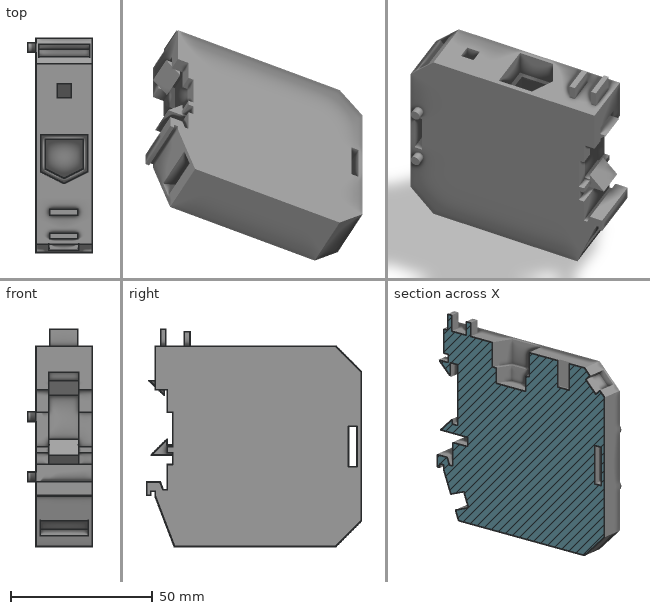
import cadquery as cq
import math


BODY_WIDTH = 20.0
BODY_HEIGHT = 71.0
BACK_CHAMFER = 9.1
FRONT_DEPTH = 73.0
RAIL_FACE_DEPTH = 68.8
NOTCH_DEPTH = 66.8
HEAD_BOTTOM = 55.5
NOTCH_TOP = 47.5
NOTCH_BOTTOM = 29.1
RIB_BOTTOM = 33.2
RIB_TOP = 35.3

FOOT_DEPTH = 76.0
FOOT_TOP = 22.9
FOOT_BOTTOM = 18.1
GROOVE_BOTTOM = 20.2
GROOVE_MOUTH_DEPTH = 71.2
GROOVE_FLOOR_DEPTH = 70.2
RELIEF_TOP = 19.5
RELIEF_DEPTH = 74.5
SLOPE_TOP = 17.8
SLOPE_BOTTOM_DEPTH = 66.2

CHANNEL_WIDTH = 10.5
CHANNEL_OFFSET = -0.13
CHANNEL_FLOOR_DEPTH = 66.6
UNDERCUT_DEPTH = 62.0
CHANNEL_TOP = 61.7
UPPER_RECESS_DEPTH = 71.0
UPPER_CATCH_TOP = 58.8
UPPER_CATCH_BOTTOM = 53.5
UPPER_CATCH_BACK = 69.7
UPPER_CATCH_TIP = 75.2
LOWER_CATCH_BOTTOM = 32.4
LOWER_CATCH_SHOULDER = 36.0
LOWER_CATCH_PEAK = 38.0
LOWER_CATCH_TIP = 74.4

PIN_DIAMETER = 3.5
PIN_LENGTH = 2.9
PIN_DEPTH = 3.35
PIN_HEIGHTS = (24.7, 46.0)
SLOT_NEAR = 1.6
SLOT_FAR = 4.5
SLOT_BOTTOM = 28.3
SLOT_TOP = 42.6

SQUARE_HOLE_SIZE = 5.0
SQUARE_HOLE_DEPTH = 18.7
SQUARE_HOLE_SINK = 10.0
SOCKET_WIDTH = 16.7
SOCKET_BACK = 34.2
SOCKET_SHOULDER = 47.3
SOCKET_TIP = 51.5
SOCKET_STEP = 1.6
SOCKET_LEDGE_SINK = 9.2
SOCKET_TOTAL_SINK = 15.0
BLADE_WIDTH = 10.0
BLADE_OFFSET = -0.13
BLADES = ((60.6, 62.7, 5.1), (69.2, 71.1, 6.0))

MARKER_WIDTH = 18.1
MARKER_LENGTH = 6.3
MARKER_SINK = 2.6
MARKER_CENTRE_DEPTH = 4.4

SLOPE_POCKET_WIDTH = 17.0
SLOPE_POCKET_BOTTOM = 3.8
SLOPE_POCKET_TOP = 9.2
SLOPE_POCKET_SINK = 6.3


def prism(points, width, x_centre=0.0):
    """Extrude a (depth, height) outline along X, centred on x_centre."""
    outline = [(-depth, height) for depth, height in points]
    solid = cq.Workplane("YZ").polyline(outline).close().extrude(width / 2, both=True)
    return solid.translate((x_centre, 0, 0))


def block(near, far, bottom, top, width, x_centre=0.0):
    """Box between two depths and two heights."""
    corners = [(near, bottom), (far, bottom), (far, top), (near, top)]
    return prism(corners, width, x_centre)


def housing():
    outline = [
        (0, BACK_CHAMFER),
        (0, BODY_HEIGHT - BACK_CHAMFER),
        (BACK_CHAMFER, BODY_HEIGHT),
        (FRONT_DEPTH, BODY_HEIGHT),
        (FRONT_DEPTH, HEAD_BOTTOM),
        (RAIL_FACE_DEPTH, HEAD_BOTTOM),
        (RAIL_FACE_DEPTH, NOTCH_TOP),
        (NOTCH_DEPTH, NOTCH_TOP),
        (NOTCH_DEPTH, RIB_TOP),
        (RAIL_FACE_DEPTH, RIB_TOP),
        (RAIL_FACE_DEPTH, RIB_BOTTOM),
        (NOTCH_DEPTH, RIB_BOTTOM),
        (NOTCH_DEPTH, NOTCH_BOTTOM),
        (RAIL_FACE_DEPTH, NOTCH_BOTTOM),
        (RAIL_FACE_DEPTH, GROOVE_BOTTOM),
        (GROOVE_FLOOR_DEPTH, GROOVE_BOTTOM),
        (GROOVE_MOUTH_DEPTH, FOOT_TOP),
        (FOOT_DEPTH, FOOT_TOP),
        (FOOT_DEPTH, FOOT_BOTTOM),
        (RELIEF_DEPTH, FOOT_BOTTOM),
        (RELIEF_DEPTH, RELIEF_TOP),
        (FRONT_DEPTH, RELIEF_TOP),
        (FRONT_DEPTH, SLOPE_TOP),
        (SLOPE_BOTTOM_DEPTH, 0),
        (BACK_CHAMFER, 0),
    ]
    return prism(outline, BODY_WIDTH)


def cut_channel(body):
    main = block(CHANNEL_FLOOR_DEPTH, FRONT_DEPTH, NOTCH_BOTTOM, UPPER_CATCH_TOP,
                 CHANNEL_WIDTH, CHANNEL_OFFSET)
    recess = block(UPPER_RECESS_DEPTH, FRONT_DEPTH, UPPER_CATCH_TOP, CHANNEL_TOP,
                   CHANNEL_WIDTH, CHANNEL_OFFSET)
    undercut = block(UNDERCUT_DEPTH, RAIL_FACE_DEPTH, NOTCH_BOTTOM, LOWER_CATCH_BOTTOM,
                     CHANNEL_WIDTH, CHANNEL_OFFSET)
    return body.cut(main).cut(recess).cut(undercut)


def add_catches(body):
    upper = [
        (UPPER_CATCH_BACK, UPPER_CATCH_TOP),
        (UPPER_CATCH_TIP, UPPER_CATCH_TOP),
        (UPPER_CATCH_BACK, UPPER_CATCH_BOTTOM),
    ]
    lower = [
        (CHANNEL_FLOOR_DEPTH, LOWER_CATCH_BOTTOM),
        (LOWER_CATCH_TIP, LOWER_CATCH_BOTTOM),
        (RAIL_FACE_DEPTH, LOWER_CATCH_PEAK),
        (RAIL_FACE_DEPTH, LOWER_CATCH_SHOULDER),
        (CHANNEL_FLOOR_DEPTH, LOWER_CATCH_SHOULDER),
    ]
    for outline in (upper, lower):
        body = body.union(prism(outline, CHANNEL_WIDTH, CHANNEL_OFFSET))
    return body


def add_side_pins(body):
    centres = [(-PIN_DEPTH, height) for height in PIN_HEIGHTS]
    pins = (
        cq.Workplane("YZ", origin=(-BODY_WIDTH / 2, 0, 0))
        .pushPoints(centres)
        .circle(PIN_DIAMETER / 2)
        .extrude(-PIN_LENGTH)
    )
    return body.union(pins)


def cut_side_slot(body):
    return body.cut(block(SLOT_NEAR, SLOT_FAR, SLOT_BOTTOM, SLOT_TOP, BODY_WIDTH))


def cut_square_hole(body):
    half = SQUARE_HOLE_SIZE / 2
    hole = block(SQUARE_HOLE_DEPTH - half, SQUARE_HOLE_DEPTH + half,
                 BODY_HEIGHT - SQUARE_HOLE_SINK, BODY_HEIGHT, SQUARE_HOLE_SIZE)
    return body.cut(hole)


def cut_socket(body):
    """Five-sided socket with its point toward the rail, stepped inward at a ledge."""
    half = SOCKET_WIDTH / 2
    outline = [
        (-half, -SOCKET_BACK),
        (half, -SOCKET_BACK),
        (half, -SOCKET_SHOULDER),
        (0, -SOCKET_TIP),
        (-half, -SOCKET_SHOULDER),
    ]
    top = cq.Workplane("XY", origin=(0, 0, BODY_HEIGHT))
    outer = top.polyline(outline).close().extrude(-SOCKET_LEDGE_SINK)
    inner = top.polyline(outline).close().offset2D(-SOCKET_STEP).extrude(-SOCKET_TOTAL_SINK)
    return body.cut(outer).cut(inner)


def add_blades(body):
    for near, far, height in BLADES:
        blade = block(near, far, BODY_HEIGHT, BODY_HEIGHT + height, BLADE_WIDTH, BLADE_OFFSET)
        body = body.union(blade)
    return body


def tilted_pocket(depth, height, lean, length, sink, width):
    """Box centred on a sloping face at (depth, height), reaching sink below it.

    lean is the angle in degrees that the face is turned about X from an upright wall.
    """
    pocket = cq.Workplane("XY").box(width, 2 * sink, length)
    return pocket.rotate((0, 0, 0), (1, 0, 0), lean).translate((0, -depth, height))


def cut_marker_pocket(body):
    height = BODY_HEIGHT - BACK_CHAMFER + MARKER_CENTRE_DEPTH
    chamfer_angle = 45
    return body.cut(tilted_pocket(MARKER_CENTRE_DEPTH, height, chamfer_angle,
                                  MARKER_LENGTH, MARKER_SINK, MARKER_WIDTH))


def cut_slope_pocket(body):
    slope_run = FRONT_DEPTH - SLOPE_BOTTOM_DEPTH
    slope_angle = math.atan2(slope_run, SLOPE_TOP)
    height = (SLOPE_POCKET_BOTTOM + SLOPE_POCKET_TOP) / 2
    depth = SLOPE_BOTTOM_DEPTH + height * slope_run / SLOPE_TOP
    length = (SLOPE_POCKET_TOP - SLOPE_POCKET_BOTTOM) / math.cos(slope_angle)
    return body.cut(tilted_pocket(depth, height, math.degrees(slope_angle),
                                  length, SLOPE_POCKET_SINK, SLOPE_POCKET_WIDTH))


body = housing()
body = cut_channel(body)
body = add_catches(body)
body = add_side_pins(body)
body = cut_side_slot(body)
body = cut_square_hole(body)
body = cut_socket(body)
body = add_blades(body)
body = cut_marker_pocket(body)
body = cut_slope_pocket(body)

result = body